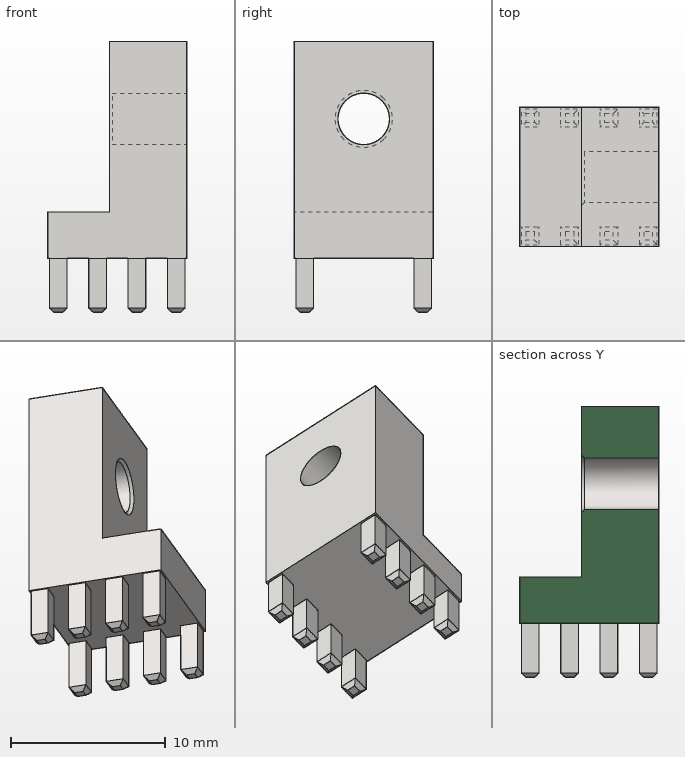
import cadquery as cq

total_height = 17.5
side = 9.0
pin_length = 3.5
foot_height = 3.0
upright_thickness = 5.0

hole_diameter = 3.3
hole_mouth_diameter = 3.7
hole_below_top = 5.0

pin_width = 1.15
pin_pitch = 2.54
pins_per_row = 4
pin_tip_chamfer = 0.3

half_side = side / 2
foot_top = pin_length + foot_height
upright_front = half_side - upright_thickness
hole_height = total_height - hole_below_top
row_half_length = pin_pitch * (pins_per_row - 1) / 2


def make_block():
    """L-shaped block: a low foot with an upright on its +X side."""
    return (
        cq.Workplane("XZ")
        .moveTo(-half_side, pin_length)
        .lineTo(half_side, pin_length)
        .lineTo(half_side, total_height)
        .lineTo(upright_front, total_height)
        .lineTo(upright_front, foot_top)
        .lineTo(-half_side, foot_top)
        .close()
        .extrude(half_side, both=True)
    )


def make_hole():
    """Through hole along X with a 45 degree countersink at its -X mouth."""
    mouth_radius = hole_mouth_diameter / 2
    bore_radius = hole_diameter / 2
    countersink_depth = mouth_radius - bore_radius
    return (
        cq.Workplane("XY")
        .moveTo(upright_front, 0)
        .lineTo(upright_front, mouth_radius)
        .lineTo(upright_front + countersink_depth, bore_radius)
        .lineTo(half_side, bore_radius)
        .lineTo(half_side, 0)
        .close()
        .revolve(360, (0, 0, 0), (1, 0, 0))
        .translate((0, 0, hole_height))
    )


def make_pin():
    """Square pin on the Z axis with its lower end chamfered on all sides."""
    return (
        cq.Workplane("XY")
        .box(pin_width, pin_width, pin_length, centered=(True, True, False))
        .faces("<Z")
        .chamfer(pin_tip_chamfer)
    )


result = make_block().cut(make_hole())

for row_y in (-row_half_length, row_half_length):
    for index in range(pins_per_row):
        pin_x = index * pin_pitch - row_half_length
        result = result.union(make_pin().translate((pin_x, row_y, 0)))